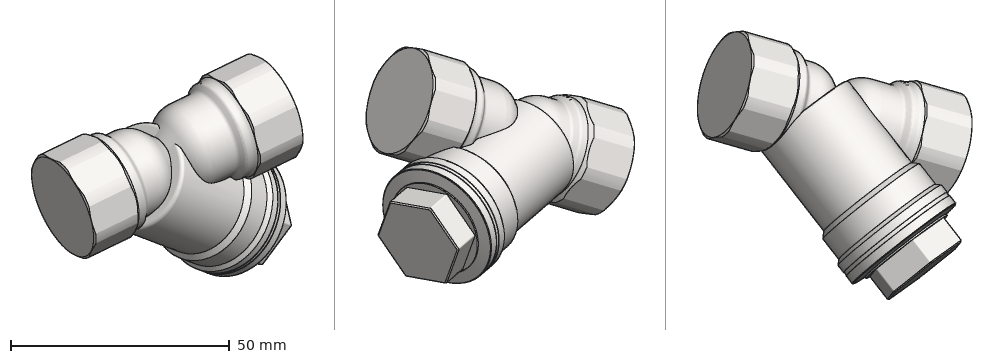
import cadquery as cq
import math


SQRT2 = math.sqrt(2)
full_turn = math.radians(45)
half_turn = full_turn / 2
branch_tilt = -135

run_length = 58.1
near_end = -19.0
far_end = near_end + run_length

nut_flats = 25.0
nut_corner_r = 13.0
nut_face_r = 12.45
nut_chamfer = 0.3

collar_r = 12.0
collar_fillet = 1.05
neck_r = 10.5

far_nut_length = 12.45
far_collar_start = 13.6
far_collar_end = 15.1
far_neck_end = 22.75
hollow_start = 12.8
hollow_start_r = 12.25

near_nut_length = 11.95
near_collar_end = 14.9
near_neck_end = 19.5

shoulder_r = 7.15

tube_r = 12.75
tube_start = 2.5
tube_edge_fillet = 1.0
sleeve_r = 14.0
sleeve_start = 26.5
flange_r = 15.0
flange_start = 33.75
flange_end = 40.2
flange_chamfer = 0.2

groove_start = 36.85
groove_width = 1.0
groove_depth = 0.1

cap_seat_r = 11.8
cap_taper_end = 40.6
cap_seat_end = 41.0
hex_flats = 19.85
hex_end = 47.9
hex_edge_fillet = 0.5
hex_end_chamfer = 0.3

shoulder_length = shoulder_r * math.sin(full_turn)
shoulder_drop = shoulder_r * (1 - math.cos(full_turn))
cone_r = neck_r - shoulder_drop
cone_length = (run_length - far_neck_end - near_neck_end) / 2 - shoulder_length
valley_r = cone_r - cone_length

near_cone_end = near_nut_length + nut_corner_r - collar_r

branch_plane = cq.Plane(origin=(0, 0, 0), xDir=(1, 0, 0), normal=(0, 1, 1))
octagon_circumradius = nut_flats / 2 / math.cos(math.pi / 8)
hex_circumradius = hex_flats / 2 / math.cos(math.pi / 6)


def revolved(sketch):
    """Turn a closed half profile about the Y axis of its own plane."""
    return sketch.close().revolve(360, (0, 0, 0), (0, 1, 0))


def nut_turned_start():
    """Half profile from the run end, over the front chamfer, to the nut corners."""
    return cq.Workplane("XY").lineTo(nut_face_r, 0).lineTo(nut_corner_r, nut_chamfer)


def octagon_nut(turned, length):
    """Octagon along +Y from the origin, cut to a turned shape."""
    octagon = (
        cq.Workplane("XZ")
        .polygon(8, 2 * octagon_circumradius)
        .extrude(-length)
    )
    return octagon.intersect(turned)


def far_nut():
    turned = revolved(
        nut_turned_start()
        .lineTo(nut_corner_r, far_nut_length - nut_chamfer)
        .lineTo(nut_face_r, far_nut_length)
        .lineTo(0, far_nut_length)
    )
    return octagon_nut(turned, far_nut_length)


def near_nut():
    turned = revolved(
        nut_turned_start()
        .lineTo(nut_corner_r, near_nut_length)
        .lineTo(collar_r, near_cone_end)
        .lineTo(0, near_cone_end)
    )
    return octagon_nut(turned, near_cone_end)


def far_collar_root():
    """Hollow round between the far nut and its collar, tangent to the collar."""
    length = far_collar_start - hollow_start
    rise = hollow_start_r - collar_r
    hollow_r = (length**2 + rise**2) / (2 * rise)
    mid_length = length / 2
    mid_r = collar_r + hollow_r - math.sqrt(hollow_r**2 - mid_length**2)
    return revolved(
        cq.Workplane("XY")
        .moveTo(0, far_nut_length)
        .lineTo(nut_face_r, far_nut_length)
        .lineTo(hollow_start_r, hollow_start)
        .threePointArc((mid_r, far_collar_start - mid_length), (collar_r, far_collar_start))
        .lineTo(0, far_collar_start)
    )


def collar_and_shoulder(collar_start, collar_end, neck_end):
    """Collar, 45 degree step, neck, curved shoulder and cone along +Y."""
    step_end = collar_end + collar_r - neck_r
    tangent = collar_fillet * math.tan(half_turn)
    leg = tangent / SQRT2
    sagitta_axial = collar_fillet * math.sin(half_turn)
    sagitta_radial = collar_fillet * (1 - math.cos(half_turn))
    round_start = collar_end - tangent
    round_end = step_end + tangent

    shoulder_mid_y = neck_end + shoulder_r * math.sin(half_turn)
    shoulder_mid_r = neck_r - shoulder_r * (1 - math.cos(half_turn))
    cone_start = neck_end + shoulder_length
    cone_end = cone_start + cone_length

    return revolved(
        cq.Workplane("XY")
        .moveTo(0, collar_start)
        .lineTo(collar_r, collar_start)
        .lineTo(collar_r, round_start)
        .threePointArc(
            (collar_r - sagitta_radial, round_start + sagitta_axial),
            (collar_r - leg, collar_end + leg),
        )
        .lineTo(neck_r + leg, step_end - leg)
        .threePointArc(
            (neck_r + sagitta_radial, round_end - sagitta_axial),
            (neck_r, round_end),
        )
        .lineTo(neck_r, neck_end)
        .threePointArc((shoulder_mid_r, shoulder_mid_y), (cone_r, cone_start))
        .lineTo(valley_r, cone_end)
        .lineTo(0, cone_end)
    )


def far_half():
    body = collar_and_shoulder(far_collar_start, far_collar_end, far_neck_end)
    half = far_nut().union(far_collar_root()).union(body)
    return half.mirror("XZ").translate((0, far_end, 0))


def near_half():
    body = collar_and_shoulder(near_cone_end, near_collar_end, near_neck_end)
    return near_nut().union(body).translate((0, near_end, 0))


def branch_body():
    """Tube, sleeve, grooved flange and cap seat, turned about the branch axis."""
    fillet_centre_r = tube_r - tube_edge_fillet
    fillet_centre = tube_start + tube_edge_fillet
    fillet_mid = tube_edge_fillet / SQRT2
    groove_r = flange_r - groove_depth
    return revolved(
        cq.Workplane(branch_plane)
        .moveTo(0, tube_start)
        .lineTo(fillet_centre_r, tube_start)
        .threePointArc(
            (fillet_centre_r + fillet_mid, fillet_centre - fillet_mid),
            (tube_r, fillet_centre),
        )
        .lineTo(tube_r, sleeve_start)
        .lineTo(sleeve_r, sleeve_start + sleeve_r - tube_r)
        .lineTo(sleeve_r, flange_start)
        .lineTo(flange_r, flange_start + flange_r - sleeve_r)
        .lineTo(flange_r, groove_start)
        .lineTo(groove_r, groove_start)
        .lineTo(groove_r, groove_start + groove_width)
        .lineTo(flange_r, groove_start + groove_width)
        .lineTo(flange_r, flange_end - flange_chamfer)
        .lineTo(flange_r - flange_chamfer, flange_end)
        .lineTo(cap_seat_r, cap_taper_end)
        .lineTo(cap_seat_r, cap_seat_end)
        .lineTo(0, cap_seat_end)
    )


def cap_hexagon():
    """Hexagon with two flats facing +X and -X, softened edges and end."""
    hexagon = (
        cq.Workplane("XY")
        .polygon(6, 2 * hex_circumradius)
        .extrude(hex_end - flange_end)
        .edges("|Z")
        .fillet(hex_edge_fillet)
        .faces(">Z")
        .chamfer(hex_end_chamfer)
    )
    return (
        hexagon.rotate((0, 0, 0), (0, 0, 1), 90)
        .translate((0, 0, flange_end))
        .rotate((0, 0, 0), (1, 0, 0), branch_tilt)
    )


result = near_half().union(far_half()).union(branch_body()).union(cap_hexagon())